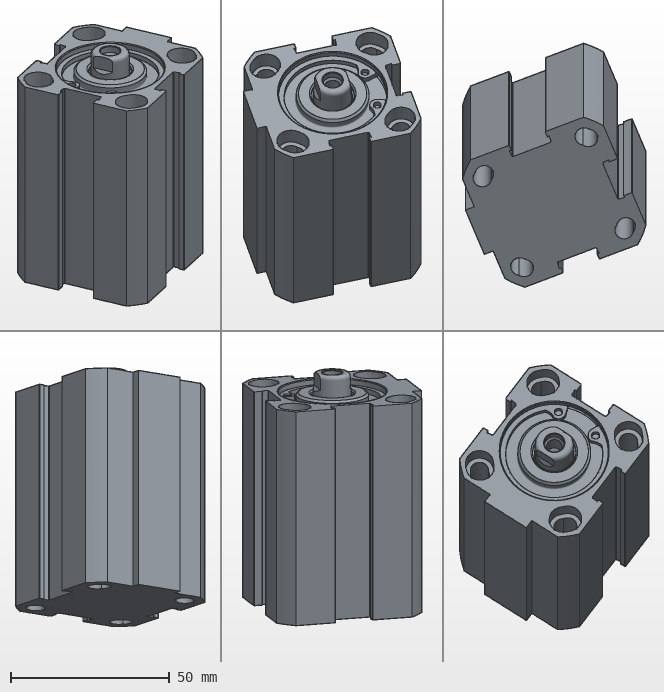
import cadquery as cq
import math

TOTAL_HEIGHT = 75.5
HOUSING_HEIGHT = 69.45
HOUSING_WIDTH = 46.0
HOUSING_DEPTH = 47.95
CORNER_DIAMETER = 59.9
RIB_WIDTH = 16.0
RIB_HEIGHT = 3.0

SLOT_HALF_OPENING = 6.1
SLOT_HALF_UNDERCUT = 6.8
SLOT_HALF_FLOOR = 6.6
SLOT_MOUTH_CHAMFER = 0.2
SLOT_FLOOR_CHAMFER = 0.2
SLOT_FLOOR_OFFSET = 19.0
SLOT_LIP_OFFSET = 21.15

BOLT_POINTS = ((15.9, 18.05), (16.9, 17.0))
BOLT_DIAMETER = 5.8
BOLT_HEAD_DIAMETER = 8.8
BOLT_HEAD_DEPTH = 5.6

RECESS_DIAMETER = 34.1
RECESS_CHAMFER = 0.3
GROOVE_DIAMETER = 35.8
RING_DEPTH = 2.0
RING_THICKNESS = 1.6
RING_TOP = HOUSING_HEIGHT - RING_DEPTH
FLANGE_TOP = RING_TOP - RING_THICKNESS

GLAND_FLANGE_THICKNESS = 9.05
GLAND_BOTTOM = FLANGE_TOP - GLAND_FLANGE_THICKNESS
BOSS_DIAMETER = 23.0
BOSS_HEIGHT = 3.1
BOSS_CHAMFER = 0.75
BOSS_ROOT_FILLET = 0.4
BOSS_TOP = FLANGE_TOP + BOSS_HEIGHT
WIPER_DIAMETER = 13.7
WIPER_DEPTH = 1.5
WIPER_CHAMFER = 0.5
CLEARANCE_DIAMETER = 12.5
CLEARANCE_DEPTH = 3.0

RING_INNER_DIAMETER = 30.65
LUG_CENTRE_RADIUS = 14.5
LUG_ANGLE = 29.5
LUG_END_ANGLE = 20.0
LUG_HOLE_DIAMETER = 2.5
BAND_END_ANGLE = 45.0
LUG_ROOT_SAG = 0.4

ROD_DIAMETER = 12.0
ROD_TOP_FILLET = 1.3
FLATS_WIDTH = 10.0
FLATS_LENGTH = 4.5
SOCKET_DIAMETER = 6.3
SOCKET_CHAMFER = 0.2
SOCKET_DEPTH = 2.3
DRILL_DIAMETER = 4.9
DRILL_DEPTH = 9.05
DRILL_POINT_ANGLE = 118.0


def cylinder(diameter, bottom, top):
    """Cylinder on the rod axis between two heights."""
    return cq.Workplane("XY").workplane(offset=bottom).circle(diameter / 2).extrude(top - bottom)


def revolve_profile(points):
    """Solid of revolution about Z from (radius, height) points."""
    return cq.Workplane("XZ").polyline(points).close().revolve(360, (0, 0, 0), (0, 1, 0))


def t_slot(face_offset, angle):
    """Full-height T-slot cutter opening through the +X face, turned about Z by the angle."""
    half_profile = [
        (face_offset, SLOT_HALF_OPENING + SLOT_MOUTH_CHAMFER),
        (face_offset - SLOT_MOUTH_CHAMFER, SLOT_HALF_OPENING),
        (SLOT_LIP_OFFSET, SLOT_HALF_OPENING),
        (SLOT_LIP_OFFSET, SLOT_HALF_UNDERCUT),
        (SLOT_FLOOR_OFFSET + SLOT_FLOOR_CHAMFER, SLOT_HALF_FLOOR),
        (SLOT_FLOOR_OFFSET, SLOT_HALF_FLOOR - SLOT_FLOOR_CHAMFER),
    ]
    mirrored = [(x, -y) for x, y in reversed(half_profile)]
    cutter = cq.Workplane("XY").polyline(half_profile + mirrored).close().extrude(HOUSING_HEIGHT)
    return cutter.rotate((0, 0, 0), (0, 0, 1), angle)


def mounting_hole(x_sign, y_sign):
    """Pair of overlapping through bores with a slotted counterbore at the top."""
    points = [(x_sign * x, y_sign * y) for x, y in BOLT_POINTS]
    bores = cq.Workplane("XY")
    for x, y in points:
        bores = bores.union(cylinder(BOLT_DIAMETER, 0, HOUSING_HEIGHT).translate((x, y, 0)))
    (x1, y1), (x2, y2) = points
    pitch = math.hypot(x2 - x1, y2 - y1)
    direction = math.degrees(math.atan2(y2 - y1, x2 - x1))
    counterbore = (
        cq.Workplane("XY")
        .workplane(offset=HOUSING_HEIGHT - BOLT_HEAD_DEPTH)
        .center((x1 + x2) / 2, (y1 + y2) / 2)
        .slot2D(pitch + BOLT_HEAD_DIAMETER, BOLT_HEAD_DIAMETER, direction)
        .extrude(BOLT_HEAD_DEPTH)
    )
    return bores.union(counterbore)


def gland_recess():
    """Bore for the gland, with a snap-ring groove and a chamfered mouth."""
    bore = cylinder(RECESS_DIAMETER, GLAND_BOTTOM, HOUSING_HEIGHT)
    groove = cylinder(GROOVE_DIAMETER, FLANGE_TOP, RING_TOP)
    radius = RECESS_DIAMETER / 2
    mouth = revolve_profile([
        (0, HOUSING_HEIGHT - RECESS_CHAMFER),
        (radius, HOUSING_HEIGHT - RECESS_CHAMFER),
        (radius + RECESS_CHAMFER, HOUSING_HEIGHT),
        (0, HOUSING_HEIGHT),
    ])
    return bore.union(groove).union(mouth)


def make_housing():
    body = cq.Workplane("XY").rect(HOUSING_WIDTH, HOUSING_DEPTH).extrude(HOUSING_HEIGHT)
    body = body.intersect(cylinder(CORNER_DIAMETER, 0, HOUSING_HEIGHT))
    rib_reach = HOUSING_DEPTH / 2 + RIB_HEIGHT
    rib = (
        cq.Workplane("XY")
        .center(0, rib_reach / 2)
        .rect(RIB_WIDTH, rib_reach)
        .extrude(HOUSING_HEIGHT)
    )
    body = body.union(rib)
    for face_offset, angle in (
        (HOUSING_WIDTH / 2, 0),
        (HOUSING_WIDTH / 2, 180),
        (HOUSING_DEPTH / 2, 270),
    ):
        body = body.cut(t_slot(face_offset, angle))
    for x_sign in (-1, 1):
        for y_sign in (-1, 1):
            body = body.cut(mounting_hole(x_sign, y_sign))
    return body.cut(gland_recess())


def make_gland():
    """Flanged rod guide: boss above the flange and a stepped bore for the rod."""
    boss = cylinder(BOSS_DIAMETER, FLANGE_TOP, BOSS_TOP).faces(">Z").chamfer(BOSS_CHAMFER)
    flange = cylinder(RECESS_DIAMETER, GLAND_BOTTOM, FLANGE_TOP)
    reach = BOSS_DIAMETER / 2 + BOSS_ROOT_FILLET
    root_edge = cq.selectors.BoxSelector(
        (-reach, -reach, FLANGE_TOP - BOSS_ROOT_FILLET),
        (reach, reach, FLANGE_TOP + BOSS_ROOT_FILLET),
        boundingbox=True,
    )
    blank = flange.union(boss).edges(root_edge).fillet(BOSS_ROOT_FILLET)
    wiper_radius = WIPER_DIAMETER / 2
    clearance_radius = CLEARANCE_DIAMETER / 2
    rod_radius = ROD_DIAMETER / 2
    wiper_bottom = BOSS_TOP - WIPER_DEPTH
    clearance_bottom = BOSS_TOP - CLEARANCE_DEPTH
    bore = revolve_profile([
        (0, GLAND_BOTTOM),
        (rod_radius, GLAND_BOTTOM),
        (rod_radius, clearance_bottom),
        (clearance_radius, clearance_bottom),
        (clearance_radius, wiper_bottom),
        (wiper_radius, wiper_bottom),
        (wiper_radius, BOSS_TOP - WIPER_CHAMFER),
        (wiper_radius + WIPER_CHAMFER, BOSS_TOP),
        (0, BOSS_TOP),
    ])
    return blank.cut(bore)


def polar(radius, angle, side):
    """Point at an angle from -Y, on the +X side (1) or the -X side (-1)."""
    return (side * radius * math.sin(math.radians(angle)), -radius * math.cos(math.radians(angle)))


def make_retaining_ring():
    """Internal snap ring: open toward -Y, with a drilled lug at each end."""
    outer_radius = GROOVE_DIAMETER / 2
    inner_radius = RING_INNER_DIAMETER / 2
    lug_half_angle = math.radians(LUG_ANGLE - LUG_END_ANGLE)
    lug_radius = LUG_CENTRE_RADIUS * math.sin(lug_half_angle)
    tangent_radius = LUG_CENTRE_RADIUS * math.cos(lug_half_angle)

    def lug_points(side):
        """Outer corner, end of the straight, inward tip, crown, hollow and band end of one lug."""
        centre_x, centre_y = polar(LUG_CENTRE_RADIUS, LUG_ANGLE, side)
        corner = polar(outer_radius, LUG_END_ANGLE, side)
        tangent = polar(tangent_radius, LUG_END_ANGLE, side)
        tip = polar(LUG_CENTRE_RADIUS - lug_radius, LUG_ANGLE, side)
        crown = (centre_x, centre_y + lug_radius)
        band_end = polar(inner_radius, BAND_END_ANGLE, side)
        hollow = ((crown[0] + band_end[0]) / 2, (crown[1] + band_end[1]) / 2 - LUG_ROOT_SAG)
        return corner, tangent, tip, crown, hollow, band_end

    corner, tangent, tip, crown, hollow, band_end = lug_points(1)
    far_corner, far_tangent, far_tip, far_crown, far_hollow, far_band_end = lug_points(-1)
    return (
        cq.Workplane("XY")
        .workplane(offset=FLANGE_TOP)
        .moveTo(*corner)
        .threePointArc((0, outer_radius), far_corner)
        .lineTo(*far_tangent)
        .threePointArc(far_tip, far_crown)
        .threePointArc(far_hollow, far_band_end)
        .threePointArc((0, inner_radius), band_end)
        .threePointArc(hollow, crown)
        .threePointArc(tip, tangent)
        .close()
        .pushPoints([polar(LUG_CENTRE_RADIUS, LUG_ANGLE, side) for side in (-1, 1)])
        .circle(LUG_HOLE_DIAMETER / 2)
        .extrude(RING_THICKNESS)
    )


def make_rod():
    """Rod with a rounded end, two wrench flats and a drilled socket."""
    rod = cylinder(ROD_DIAMETER, GLAND_BOTTOM, TOTAL_HEIGHT).faces(">Z").fillet(ROD_TOP_FILLET)
    flat_bottom = TOTAL_HEIGHT - FLATS_LENGTH
    ramp = (ROD_DIAMETER - FLATS_WIDTH) / 2
    for side in (-1, 1):
        inner = side * FLATS_WIDTH / 2
        outer = side * (FLATS_WIDTH / 2 + ramp)
        cutter = (
            cq.Workplane("YZ")
            .polyline([
                (inner, TOTAL_HEIGHT),
                (inner, flat_bottom),
                (outer, flat_bottom - ramp),
                (outer, TOTAL_HEIGHT),
            ])
            .close()
            .extrude(ROD_DIAMETER / 2, both=True)
        )
        rod = rod.cut(cutter)
    socket_radius = SOCKET_DIAMETER / 2
    drill_radius = DRILL_DIAMETER / 2
    socket_bottom = TOTAL_HEIGHT - SOCKET_DEPTH
    drill_bottom = TOTAL_HEIGHT - DRILL_DEPTH
    point_length = drill_radius / math.tan(math.radians(DRILL_POINT_ANGLE / 2))
    socket = revolve_profile([
        (0, TOTAL_HEIGHT),
        (socket_radius + SOCKET_CHAMFER, TOTAL_HEIGHT),
        (socket_radius, TOTAL_HEIGHT - SOCKET_CHAMFER),
        (socket_radius, socket_bottom),
        (drill_radius, socket_bottom - (socket_radius - drill_radius)),
        (drill_radius, drill_bottom),
        (0, drill_bottom - point_length),
    ])
    return rod.cut(socket)


housing = make_housing()
gland = make_gland()
retaining_ring = make_retaining_ring()
rod = make_rod()

result = cq.Compound.makeCompound([
    housing.val(),
    gland.val(),
    retaining_ring.val(),
    rod.val(),
])